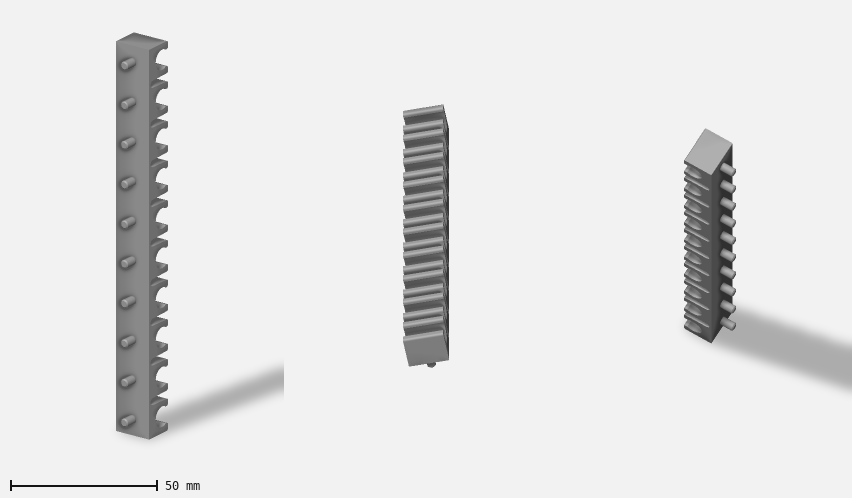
import cadquery as cq

width = 14.0
total_depth = 16.0
pin_length = 5.0
clip_count = 10
clip_pitch = 14.5
end_margin = 6.0

pin_diameter = 3.0
pin_chamfer = 0.4

bore_diameter = 7.5
seat_thickness = 3.8
throat_height = 6.2
tip_radius = 0.8

slot_mouth_width = 3.05
slot_root_width = 2.6
slot_floor = 0.8

body_depth = total_depth - pin_length
height = (clip_count - 1) * clip_pitch + 2 * end_margin
bore_radius = bore_diameter / 2
bore_y = seat_thickness + bore_radius
clip_heights = [(i - (clip_count - 1) / 2) * clip_pitch for i in range(clip_count)]
slot_heights = [z + clip_pitch / 2 for z in clip_heights[:-1]]


def extrude_across(profile):
    """Extrude a YZ profile over the full width, centred on X = 0."""
    return profile.extrude(width / 2, both=True)


def make_body():
    """Plain bar from the pin face to the arm tips."""
    return cq.Workplane("XY").box(width, body_depth, height, centered=(True, False, True))


def make_slot(z):
    """Tapered slot with a round root that separates two neighbouring clips."""
    root_half = slot_root_width / 2
    mouth_half = slot_mouth_width / 2
    root_y = slot_floor + root_half
    profile = (
        cq.Workplane("YZ")
        .moveTo(body_depth, z - mouth_half)
        .lineTo(root_y, z - root_half)
        .threePointArc((slot_floor, z), (root_y, z + root_half))
        .lineTo(body_depth, z + mouth_half)
        .close()
    )
    return extrude_across(profile)


def make_clip_opening(z):
    """Round seat of a clip together with the throat that opens it towards +Y."""
    bore = extrude_across(cq.Workplane("YZ").center(bore_y, z).circle(bore_radius))
    throat_depth = body_depth - bore_y
    throat_profile = cq.Workplane("YZ").center(bore_y + throat_depth / 2, z).rect(throat_depth, throat_height)
    return bore.union(extrude_across(throat_profile))


def make_pin(z):
    """Chamfered mounting pin pointing from the pin face towards -Y."""
    pin = cq.Workplane("XZ").center(0, z).circle(pin_diameter / 2).extrude(pin_length)
    return pin.faces("<Y").chamfer(pin_chamfer)


result = make_body()
for slot_z in slot_heights:
    result = result.cut(make_slot(slot_z))
for clip_z in clip_heights:
    result = result.cut(make_clip_opening(clip_z))
result = result.faces(">Y").edges("|X").fillet(tip_radius)
for clip_z in clip_heights:
    result = result.union(make_pin(clip_z))